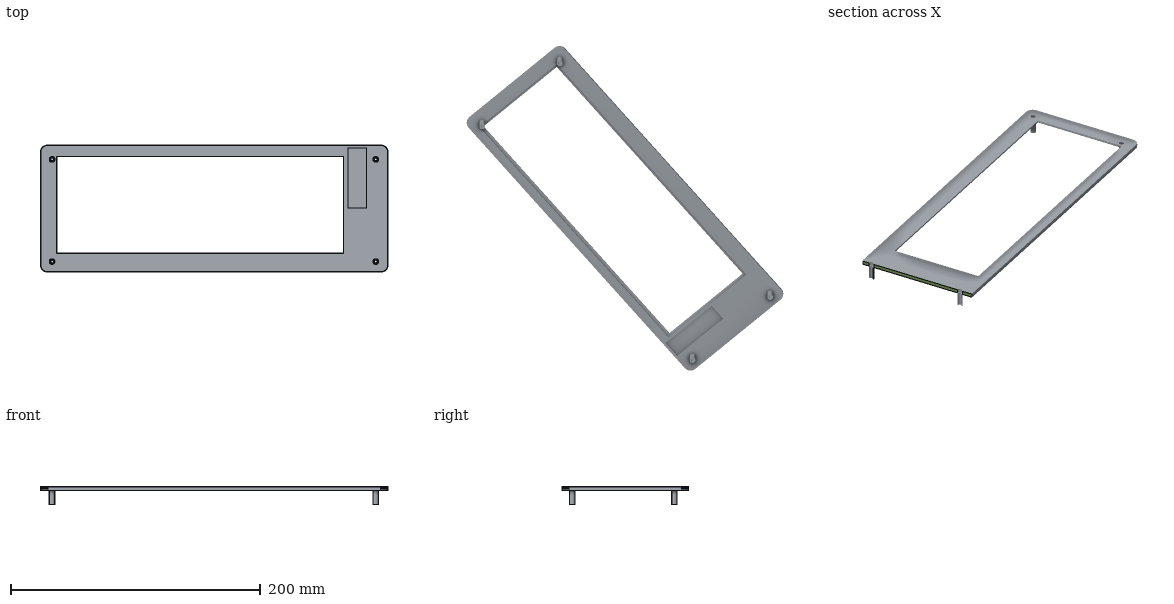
import cadquery as cq

length = 278.0
width = 101.5
height = 14.5
plate_thickness = 3.3

band_top_depth = 1.0
band_bottom_depth = 2.0
corner_radius = 5.8
band_corner_radius = 5.3

window_margin_left = 13.0
window_margin_right = 35.5
window_margin_front = 15.0
window_margin_back = 9.2

lip_thickness = 1.5
rebate_width = 2.2

pocket_skin = 0.78
pocket_length = 14.7
pocket_width = 48.5
pocket_inset_right = 17.2
pocket_inset_back = 2.08

post_radius = 2.28
post_inset_left = 9.2
post_inset_right = 9.7
post_inset_front = 8.3
post_inset_back = 11.5
bore_radius = 1.0
counterbore_radius = 2.0
counterbore_depth = plate_thickness

left, right = -length / 2, length / 2
front, back = -width / 2, width / 2


def make_block(x_range, y_range, top_depth, bottom_depth):
    """Rectangular block between two depths below the top face."""
    x_size = x_range[1] - x_range[0]
    y_size = y_range[1] - y_range[0]
    block = cq.Workplane("XY").box(x_size, y_size, bottom_depth - top_depth, centered=False)
    return block.translate((x_range[0], y_range[0], -bottom_depth))


def make_layer(top_depth, bottom_depth, radius):
    """Full-size slice of the plate with rounded corners."""
    return make_block((left, right), (front, back), top_depth, bottom_depth).edges("|Z").fillet(radius)


def make_window(growth, top_depth):
    """Window cutter, enlarged by growth on every side, open at the underside."""
    x_range = (left + window_margin_left - growth, right - window_margin_right + growth)
    y_range = (front + window_margin_front - growth, back - window_margin_back + growth)
    return make_block(x_range, y_range, top_depth, plate_thickness)


def make_pocket():
    pocket_right = right - pocket_inset_right
    pocket_back = back - pocket_inset_back
    x_range = (pocket_right - pocket_length, pocket_right)
    y_range = (pocket_back - pocket_width, pocket_back)
    return make_block(x_range, y_range, pocket_skin, plate_thickness)


def make_cylinders(radius, depth):
    """Cylinders on the four post axes, from the top face down to a depth."""
    centers = [
        (x, y)
        for x in (left + post_inset_left, right - post_inset_right)
        for y in (front + post_inset_front, back - post_inset_back)
    ]
    return cq.Workplane("XY").pushPoints(centers).circle(radius).extrude(-depth)


plate = make_layer(0, band_top_depth, corner_radius)
plate = plate.union(make_layer(band_top_depth, band_bottom_depth, band_corner_radius))
plate = plate.union(make_layer(band_bottom_depth, plate_thickness, corner_radius))

plate = plate.cut(make_window(0, 0))
plate = plate.cut(make_window(rebate_width, lip_thickness))
plate = plate.cut(make_pocket())

result = plate.union(make_cylinders(post_radius, height))
result = result.cut(make_cylinders(bore_radius, height))
result = result.cut(make_cylinders(counterbore_radius, counterbore_depth))